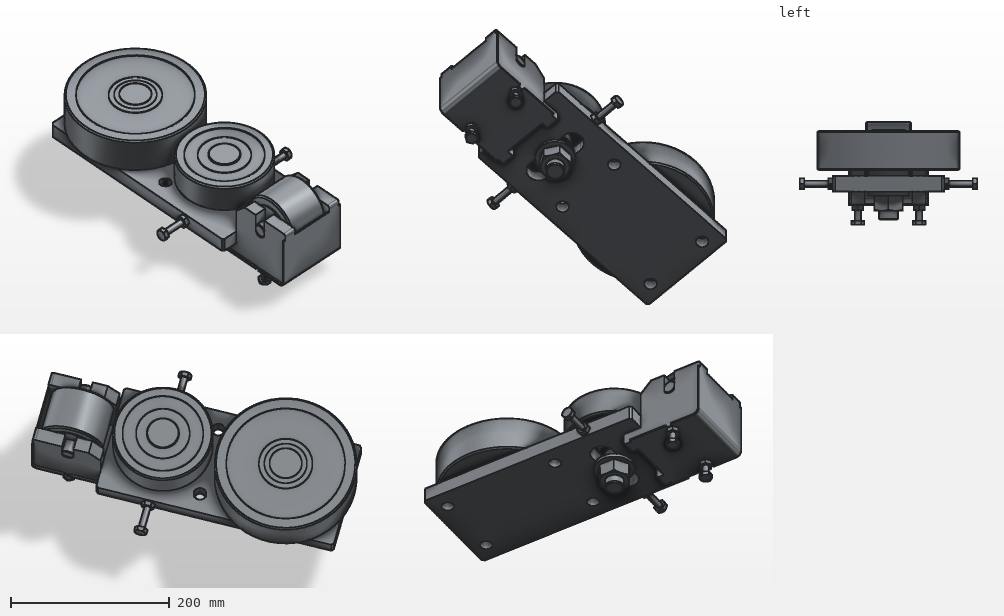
import cadquery as cq
import math


plate_length = 309.8
plate_width = 140.2
plate_thickness = 20.0
plate_left = -80.7
plate_right = plate_left + plate_length
plate_corner_chamfer = 3.0
fixing_hole_diameter = 16.0
fixing_hole_columns = (-60.0, 100.0)
fixing_hole_y = 45.2
stud_slot_width = 30.0
stud_slot_length = 89.0

screw_diameter = 8.0
screw_hex_flats = 14.3
screw_nut_height = 6.0
side_screw_end = 112.0
side_head_height = 6.0
lower_screw_end = -62.0
lower_head_height = 5.5
head_chamfer = 1.0

rim_top = 57.0
roller_edge_chamfer = 2.0
face_recess_depth = 1.5
roller_boss_drop = 0.5
roller_boss_radius = 34.0
axle_projection = 1.2

large_roller_radius = 89.5
large_roller_height = 50.0
large_recess_radius = 75.0
large_collar_radius = 25.3
large_ring_radius = 27.0
large_axle_radius = 20.5

small_roller_x = 160.0
small_roller_radius = 63.0
small_roller_height = 40.0
small_recess_radius = 51.0

stud_radius = 20.5
stud_top_chamfer = 1.0
stud_thread_diameter = 24.0
stud_end = -55.5
stud_end_chamfer = 1.5
washer_radius = 25.3
washer_thickness = 5.0
stud_nut_flats = 36.3
stud_nut_height = 19.0
stud_nut_chamfer = 1.43

bracket_right = 318.0
bracket_top = 50.0
bracket_bottom = -37.0
lip_left = 204.2
cheek_inner_y = 30.0
cheek_outer_y = 47.3
cheek_thickness = cheek_outer_y - cheek_inner_y
cheek_lead_chamfer = 15.5
cheek_top_fillet = 3.5
lip_fillet = 3.3
sheet_left = 215.0
sheet_top = 40.8
sheet_thickness = 2.0
sheet_half_width = 50.0
sheet_bend_radius = 6.0
lower_screw_y = (cheek_inner_y + cheek_outer_y) / 2

end_roller_x = 272.0
end_roller_z = 27.7
end_roller_radius = 40.5
end_roller_half_width = 29.0
end_hub_radius = 28.0
pin_radius = 9.0
pin_chamfer = 1.0
slot_width = 15.0
slot_centre_z = 25.3


def across_corners(across_flats):
    return across_flats / math.cos(math.pi / 6)


def jack_screw(seat, end, head_height, head_turn):
    """Upright screw along +Z from below its seat; its nut has two corners on the X axis."""
    shank = cq.Workplane("XY").circle(screw_diameter / 2).extrude(end)
    nut = (
        cq.Workplane("XY", origin=(0, 0, seat))
        .polygon(6, across_corners(screw_hex_flats))
        .extrude(screw_nut_height)
    )
    head = hexagon_head(screw_hex_flats, head_height, head_chamfer)
    head = head.rotate((0, 0, 0), (0, 0, 1), head_turn).translate((0, 0, end - head_height))
    return shank.union(nut).union(head)


def hexagon_head(across_flats, height, chamfer):
    """Hexagonal prism on Z = 0 whose corners are bevelled at the top, down to the flats."""
    corner_radius = across_corners(across_flats) / 2
    prism = cq.Workplane("XY").polygon(6, 2 * corner_radius).extrude(height)
    bevel = (
        cq.Workplane("XZ")
        .polyline(
            [
                (0, 0),
                (corner_radius, 0),
                (corner_radius, height - chamfer),
                (across_flats / 2, height),
                (0, height),
            ]
        )
        .close()
        .revolve(360, (0, 0, 0), (0, 1, 0))
    )
    return prism.intersect(bevel)


def disc(radius, bottom, top):
    return cq.Workplane("XY", origin=(0, 0, bottom)).circle(radius).extrude(top - bottom)


def roller_wheel(radius, height, recess_radius):
    """Wheel on the Z axis with bevelled rims and a ring-shaped recess in its top face."""
    wheel = disc(radius, rim_top - height, rim_top)
    wheel = wheel.faces("<Z or >Z").edges().chamfer(roller_edge_chamfer)
    recess = disc(recess_radius, rim_top - face_recess_depth, rim_top)
    boss = disc(roller_boss_radius, rim_top - face_recess_depth, rim_top - roller_boss_drop)
    return wheel.cut(recess.cut(boss))


def make_base_plate():
    plate = (
        cq.Workplane("XY", origin=((plate_left + plate_right) / 2, 0, -plate_thickness))
        .rect(plate_length, plate_width)
        .extrude(plate_thickness)
        .edges("|Z")
        .chamfer(plate_corner_chamfer)
    )
    fixing_hole = disc(fixing_hole_diameter / 2, -plate_thickness, 0)
    for hole_x in fixing_hole_columns:
        for side in (-1, 1):
            plate = plate.cut(fixing_hole.translate((hole_x, side * fixing_hole_y, 0)))

    stud_slot = (
        cq.Workplane("XY", origin=(small_roller_x, 0, -plate_thickness))
        .slot2D(stud_slot_length, stud_slot_width, 90)
        .extrude(plate_thickness)
    )
    plate = plate.cut(stud_slot)

    root_depth = screw_diameter
    root_y = plate_width / 2 - root_depth
    for side in (-1, 1):
        screw = jack_screw(root_depth, side_screw_end - root_y, side_head_height, 0)
        screw = screw.rotate((0, 0, 0), (1, 0, 0), -90 * side)
        plate = plate.union(screw.translate((small_roller_x, side * root_y, -plate_thickness / 2)))
    return plate


def make_large_roller():
    wheel = roller_wheel(large_roller_radius, large_roller_height, large_recess_radius)
    ring = disc(large_ring_radius, rim_top - large_roller_height, rim_top)
    axle = disc(large_axle_radius, 0, rim_top + axle_projection)
    collar = disc(large_collar_radius, 0, rim_top - large_roller_height)
    return wheel.union(ring).union(axle).union(collar)


def make_small_roller():
    wheel = roller_wheel(small_roller_radius, small_roller_height, small_recess_radius)
    bore = disc(stud_radius, 0, rim_top)
    return wheel.cut(bore).translate((small_roller_x, 0, 0))


def make_stud():
    shaft = disc(stud_radius, 0, rim_top + axle_projection)
    shaft = shaft.faces(">Z").edges().chamfer(stud_top_chamfer)
    thread = disc(stud_thread_diameter / 2, stud_end, 0)
    thread = thread.faces("<Z").edges().chamfer(stud_end_chamfer)
    washer_bottom = -plate_thickness - washer_thickness
    washer = disc(washer_radius, washer_bottom, -plate_thickness)
    nut = hexagon_head(stud_nut_flats, stud_nut_height, stud_nut_chamfer)
    nut = nut.rotate((0, 0, 0), (1, 0, 0), 180).translate((0, 0, washer_bottom))
    return shaft.union(thread).union(washer).union(nut).translate((small_roller_x, 0, 0))


def slot_shape(half_length):
    """Round-bottomed slot, open at the top of the cheeks and centred on Y = 0."""
    round_end = (
        cq.Workplane("XZ", origin=(end_roller_x, half_length, slot_centre_z))
        .circle(slot_width / 2)
        .extrude(2 * half_length)
    )
    depth = bracket_top - slot_centre_z
    throat = (
        cq.Workplane("XZ", origin=(end_roller_x, half_length, slot_centre_z + depth / 2))
        .rect(slot_width, depth)
        .extrude(2 * half_length)
    )
    return round_end.union(throat)


def make_cheek(y_start):
    """Cheek plate that spans from y_start towards +Y, notched to fit the base plate's end."""
    cheek = (
        cq.Workplane("XZ", origin=(0, y_start, 0))
        .moveTo(lip_left, bracket_bottom)
        .lineTo(bracket_right, bracket_bottom)
        .lineTo(bracket_right, bracket_top)
        .lineTo(plate_right + cheek_lead_chamfer, bracket_top)
        .lineTo(plate_right, bracket_top - cheek_lead_chamfer)
        .lineTo(plate_right, -plate_thickness)
        .lineTo(lip_left, -plate_thickness)
        .close()
        .extrude(-cheek_thickness)
    )
    cheek = cheek.edges("|Y and >X and >Z").fillet(cheek_top_fillet)
    cheek = cheek.edges("|Y and >X and <Z").fillet(sheet_bend_radius + sheet_thickness)
    return cheek.edges("|Y and <X and <Z").fillet(lip_fillet)


def make_sheet():
    """Sheet bent through a right angle, under and behind the cheeks, slotted for the screws."""
    outer_radius = sheet_bend_radius + sheet_thickness
    bend_x = bracket_right - outer_radius
    bend_z = bracket_bottom + outer_radius
    diagonal = math.sqrt(0.5)
    sheet = (
        cq.Workplane("XZ", origin=(0, sheet_half_width, 0))
        .moveTo(sheet_left, bracket_bottom)
        .lineTo(bend_x, bracket_bottom)
        .threePointArc(
            (bend_x + outer_radius * diagonal, bend_z - outer_radius * diagonal),
            (bracket_right, bend_z),
        )
        .lineTo(bracket_right, sheet_top)
        .lineTo(bracket_right - sheet_thickness, sheet_top)
        .lineTo(bracket_right - sheet_thickness, bend_z)
        .threePointArc(
            (bend_x + sheet_bend_radius * diagonal, bend_z - sheet_bend_radius * diagonal),
            (bend_x, bracket_bottom + sheet_thickness),
        )
        .lineTo(sheet_left, bracket_bottom + sheet_thickness)
        .close()
        .extrude(2 * sheet_half_width)
    )
    notch = cq.Workplane("XY", origin=(end_roller_x, 0, bracket_bottom + sheet_thickness / 2)).box(
        screw_diameter, 2 * (sheet_half_width - lower_screw_y), sheet_thickness
    )
    for side in (-1, 1):
        sheet = sheet.cut(notch.translate((0, side * sheet_half_width, 0)))
    return sheet


def make_bracket():
    bracket = make_sheet()
    for y_start in (cheek_inner_y, -cheek_outer_y):
        bracket = bracket.union(make_cheek(y_start))
    bracket = bracket.cut(slot_shape(sheet_half_width))

    root_depth = screw_diameter
    root_z = bracket_bottom + root_depth
    for side in (-1, 1):
        screw = jack_screw(root_depth, root_z - lower_screw_end, lower_head_height, 30)
        screw = screw.rotate((0, 0, 0), (1, 0, 0), 180)
        bracket = bracket.union(screw.translate((end_roller_x, side * lower_screw_y, root_z)))
    return bracket


def disc_across(radius, half_length):
    return (
        cq.Workplane("XZ", origin=(end_roller_x, half_length, end_roller_z))
        .circle(radius)
        .extrude(2 * half_length)
    )


def make_end_roller():
    wheel = disc_across(end_roller_radius, end_roller_half_width)
    wheel = wheel.faces("<Y or >Y").edges().chamfer(roller_edge_chamfer)
    hub = disc_across(end_hub_radius, cheek_inner_y)
    pin = disc_across(pin_radius, cheek_outer_y)
    pin = pin.faces("<Y or >Y").edges().chamfer(pin_chamfer)
    pin = pin.intersect(slot_shape(cheek_outer_y))
    return wheel.union(hub).union(pin)


base_plate = make_base_plate()
large_roller = make_large_roller()
small_roller = make_small_roller()
stud = make_stud()
bracket = make_bracket()
end_roller = make_end_roller()

result = cq.Compound.makeCompound(
    [
        base_plate.val(),
        large_roller.val(),
        small_roller.val(),
        stud.val(),
        bracket.val(),
        end_roller.val(),
    ]
)